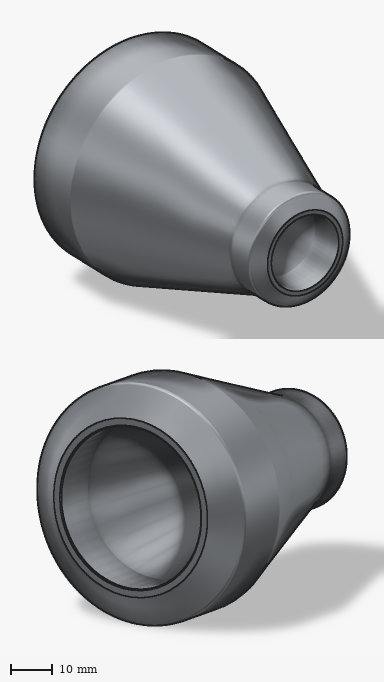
import cadquery as cq
import math

length = 76.0
large_radius = 60.3 / 2
small_radius = 30.0 / 2
cone_start = 20.0
cone_end = 66.05

large_land_radius = 22.2
small_land_radius = 11.2
bevel_angle = 30.0
edge_round = 1.0

large_bore_radius = 40.3 / 2
small_bore_radius = 20.0 / 2
large_bore_depth = 12.15
mouth_chamfer = 0.3
small_bore_start = cone_end

bevel_slope = math.tan(math.radians(bevel_angle))
large_bevel_length = (large_radius - large_land_radius) * bevel_slope
small_bevel_length = (small_radius - small_land_radius) * bevel_slope


def revolve_about_x(points):
    """Turn a closed (x, radius) outline into a solid around the X axis."""
    return cq.Workplane("XY").polyline(points).close().revolve(360, (0, 0, 0), (1, 0, 0))


def make_body():
    """Outer shape with rounded bevel edges and blended cone ends."""
    body = revolve_about_x([
        (0, 0),
        (0, large_land_radius),
        (large_bevel_length, large_radius),
        (cone_start, large_radius),
        (cone_end, small_radius),
        (length - small_bevel_length, small_radius),
        (length, small_land_radius),
        (length, 0),
    ])
    edges_between_ends = body.edges("%CIRCLE").edges("not ((<X) or (>X))")
    return edges_between_ends.fillet(edge_round)


def make_bore():
    """Wide bore with a chamfered mouth, tapering to the narrow bore."""
    return revolve_about_x([
        (0, 0),
        (0, large_bore_radius + mouth_chamfer),
        (mouth_chamfer, large_bore_radius),
        (large_bore_depth, large_bore_radius),
        (small_bore_start, small_bore_radius),
        (length, small_bore_radius),
        (length, 0),
    ])


result = make_body().cut(make_bore())